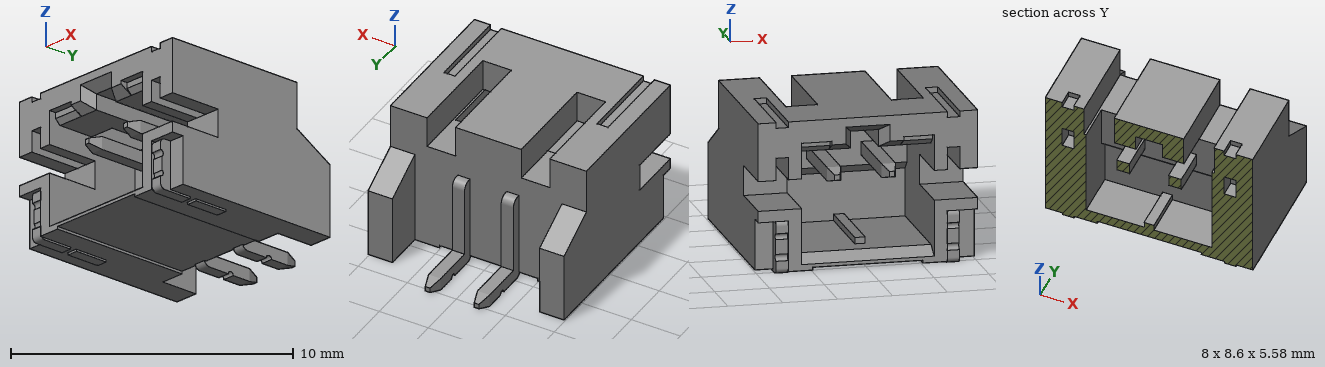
import cadquery as cq
import math


width = 8.0
half_width = width / 2
height = 5.5
roof_depth = 6.0
arm_depth = 7.6
arm_width = 1.0
arm_top = 2.79
arm_slope_top = 3.72
base_recess_half_width = 2.0
base_recess_height = 0.1

cavity_half_width = 2.42
cavity_depth = 4.11
floor_z = 0.53
ceiling_z = 4.26
lead_in_height = 0.3
lead_in_depth = 0.5
key_half_width = 0.51
key_top = 4.88
undercut_top = 2.6
undercut_step = 0.3
rib_half_width = 0.19
rib_top = 0.765
rib_front = 1.195

relief_inner_x = 1.31
relief_top = 4.69
relief_ramp = 0.21

pocket_inner_x = 1.34
pocket_outer_x = 2.5
pocket_front = 2.02

notch_depth = 2.19
notch_bottom = 2.29
notch_top = 3.38
strip_inner_x = 2.9
strip_outer_x = 3.345
slot_length = 3.32
roof_slot_depth = 0.21
inner_slot_top = 4.2

tab_top = 1.87
tab_back = 0.5
tab_front = 0.03
tab_corner = 0.2
foot_drop = 0.08
foot_end = 3.17
tab_groove_radius = 0.13
tab_groove_heights = (0.53, 1.28)
tab_recess = 0.08
foot_groove_y = 1.6
foot_groove_radius = 0.15

pitch = 1.995
pin_size = 0.5
pin_tip_size = 0.2
pin_taper_length = 0.5
pin_z = 3.21
pin_front = 0.5
pin_rear = 8.6
leg_rear = 6.4
bend_radius = 0.29
solder_groove_y = 7.2
solder_groove_radius = 0.12


def box(x0, x1, y0, y1, z0, z1):
    """Axis-aligned block between two corners."""
    return cq.Workplane("XY").box(x1 - x0, y1 - y0, z1 - z0, centered=False).translate((x0, y0, z0))


def side_profile(points, x0, x1):
    """Prism of a (y, z) outline between two X positions."""
    return cq.Workplane("YZ").polyline(points).close().extrude(x1 - x0).translate((x0, 0, 0))


def cross_rod(x0, x1, y, z, radius):
    """Cylinder along X."""
    return cq.Workplane("YZ").center(y, z).circle(radius).extrude(x1 - x0).translate((x0, 0, 0))


def both_sides(solid):
    """A solid and its mirror image across the YZ plane."""
    return solid.union(solid.mirror("YZ"))


def housing_block():
    block = box(-half_width, half_width, 0, roof_depth, 0, height)
    arm_outline = [
        (roof_depth - arm_width, 0),
        (arm_depth, 0),
        (arm_depth, arm_top),
        (roof_depth, arm_slope_top),
        (roof_depth - arm_width, arm_slope_top),
    ]
    arm = side_profile(arm_outline, half_width - arm_width, half_width)
    base_recess = box(
        -base_recess_half_width, base_recess_half_width, 0, roof_depth, 0, base_recess_height
    )
    return block.union(both_sides(arm)).cut(base_recess)


def mouth_section(half_span, top, bottom):
    """Part of the cavity whose roof and floor flare out towards the mouth."""
    outline = [
        (0, bottom - lead_in_height),
        (lead_in_depth, bottom),
        (cavity_depth, bottom),
        (cavity_depth, top),
        (lead_in_depth, top),
        (0, top + lead_in_height),
    ]
    return side_profile(outline, -half_span, half_span)


def key_slot():
    """Polarising slot above the cavity, flared at the mouth."""
    straight = box(-key_half_width, key_half_width, 0, cavity_depth, ceiling_z, key_top)
    base_z = (floor_z + ceiling_z) / 2
    mouth_half_width = key_half_width + lead_in_height
    mouth_top = key_top + lead_in_height
    flare = (
        cq.Workplane("XZ")
        .center(0, (base_z + mouth_top) / 2)
        .rect(2 * mouth_half_width, mouth_top - base_z)
        .workplane(offset=-lead_in_depth)
        .center(0, -lead_in_height / 2)
        .rect(2 * key_half_width, key_top - base_z)
        .loft(combine=True)
    )
    return straight.union(flare)


def cavity():
    space = mouth_section(cavity_half_width, ceiling_z, floor_z).union(key_slot())

    undercut_rear = cavity_depth + undercut_step
    undercut = [
        (cavity_depth, floor_z),
        (undercut_rear, floor_z),
        (undercut_rear, undercut_top - undercut_step),
        (cavity_depth, undercut_top),
    ]
    space = space.union(side_profile(undercut, -cavity_half_width, cavity_half_width))

    relief_depth = lead_in_depth - relief_ramp
    relief = [
        (0, ceiling_z),
        (lead_in_depth, ceiling_z),
        (relief_depth, ceiling_z + relief_ramp),
        (relief_depth, relief_top),
        (0, relief_top),
    ]
    space = space.union(both_sides(side_profile(relief, relief_inner_x, cavity_half_width)))

    rib = box(-rib_half_width, rib_half_width, rib_front, undercut_rear, floor_z, rib_top)
    return space.cut(rib)


def side_cuts():
    """Pocket, notch, strip slots and tab seat on the +X side."""
    pocket = box(pocket_inner_x, pocket_outer_x, pocket_front, roof_depth, ceiling_z, height)
    notch = box(cavity_half_width, half_width, 0, notch_depth, notch_bottom, notch_top)
    roof_slot = box(strip_inner_x, strip_outer_x, 0, slot_length, height - roof_slot_depth, height)
    inner_slot = box(strip_inner_x, strip_outer_x, 0, slot_length, notch_top, inner_slot_top)
    tab_seat = box(strip_inner_x, half_width, 0, tab_back, 0, tab_top)
    return pocket.union(notch).union(roof_slot).union(inner_slot).union(tab_seat)


def solder_tab():
    """Upright strip with a foot under the housing, on the +X side."""
    span = (strip_inner_x, strip_outer_x)
    upright = box(*span, tab_front, tab_back, -foot_drop, tab_top)
    upright = upright.edges("|X and <Y").fillet(tab_corner)
    foot = box(*span, tab_back, foot_end, -foot_drop, 0)
    tab = upright.union(foot)
    for groove_z in tab_groove_heights:
        tab = tab.cut(cross_rod(*span, tab_front, groove_z, tab_groove_radius))
    tab = tab.cut(box(*span, 0, tab_front + tab_recess, *tab_groove_heights))
    return tab.cut(cross_rod(*span, foot_groove_y, -foot_drop, foot_groove_radius))


def pin_tip(y, z, direction):
    """Four-sided taper pointing along +Y or -Y."""
    taper = math.degrees(math.atan((pin_size - pin_tip_size) / 2 / pin_taper_length))
    base = cq.Plane(origin=(0, y, z), xDir=(1, 0, 0), normal=(0, direction, 0))
    return cq.Workplane(base).rect(pin_size, pin_size).extrude(pin_taper_length, taper=taper)


def contact():
    """Square pin that bends down behind the housing and back along the board."""
    half = pin_size / 2
    lead_z = half - foot_drop
    front_taper_y = pin_front + pin_taper_length
    rear_taper_y = pin_rear - pin_taper_length
    leg_front = leg_rear - pin_size

    post = box(-half, half, front_taper_y, leg_rear, pin_z - half, pin_z + half)
    leg = box(-half, half, leg_front, leg_rear, -foot_drop, pin_z + half)
    lead = box(-half, half, leg_front, rear_taper_y, -foot_drop, lead_z + half)
    bent = post.union(leg).union(lead)
    top_corner = cq.selectors.NearestToPointSelector((0, leg_rear, pin_z + half))
    bottom_corner = cq.selectors.NearestToPointSelector((0, leg_front, -foot_drop))
    bent = bent.edges(top_corner).fillet(bend_radius)
    bent = bent.edges(bottom_corner).fillet(bend_radius)
    bent = bent.cut(cross_rod(-half, half, solder_groove_y, -foot_drop, solder_groove_radius))
    return bent.union(pin_tip(front_taper_y, pin_z, -1)).union(pin_tip(rear_taper_y, lead_z, 1))


housing = housing_block().cut(cavity()).cut(both_sides(side_cuts()))
tabs = both_sides(solder_tab())
contacts = both_sides(contact().translate((pitch / 2, 0, 0)))
result = housing.union(tabs).union(contacts)